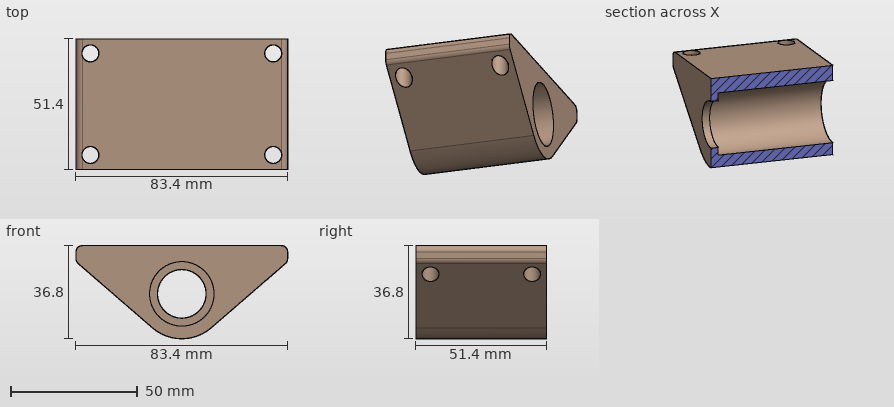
import cadquery as cq
import math

length = 83.44
width = 51.44
height = 36.77
end_height = 6.35
corner_radius = 2.54

bore_drop = 19.05
bore_diameter = 25.4
lip_opening = 19.05
lip_thickness = 3.175
underside_radius = height - bore_drop

hole_diameter = 6.6
hole_inset = 5.72

half_length = length / 2
half_width = width / 2


def make_body():
    """Block with flanks that run tangent from the end corners to the rounded underside."""
    rise = bore_drop - end_height
    axis_distance = math.hypot(half_length, rise)
    flank_angle = math.atan2(rise, half_length) + math.asin(underside_radius / axis_distance)
    tangent_x = underside_radius * math.sin(flank_angle)
    tangent_z = -bore_drop - underside_radius * math.cos(flank_angle)
    body = (
        cq.Workplane("XZ")
        .moveTo(-half_length, 0)
        .lineTo(half_length, 0)
        .lineTo(half_length, -end_height)
        .lineTo(tangent_x, tangent_z)
        .threePointArc((0, -height), (-tangent_x, tangent_z))
        .lineTo(-half_length, -end_height)
        .close()
        .extrude(half_width, both=True)
    )
    return body.faces("<X or >X").edges("|Y").fillet(corner_radius)


def cut_bore(body):
    """Bore from the -Y face, stopping at a lip with a smaller through opening."""
    front_plane = cq.Workplane("XZ", origin=(0, -half_width, -bore_drop))
    bore = front_plane.circle(bore_diameter / 2).extrude(-(width - lip_thickness))
    opening = front_plane.circle(lip_opening / 2).extrude(-width)
    return body.cut(bore).cut(opening)


def cut_mounting_holes(body):
    """Four through holes in a rectangular pattern."""
    spacing_x = length - 2 * hole_inset
    spacing_y = width - 2 * hole_inset
    holes = (
        cq.Workplane("XY")
        .rect(spacing_x, spacing_y, forConstruction=True)
        .vertices()
        .circle(hole_diameter / 2)
        .extrude(-height)
    )
    return body.cut(holes)


result = cut_mounting_holes(cut_bore(make_body()))